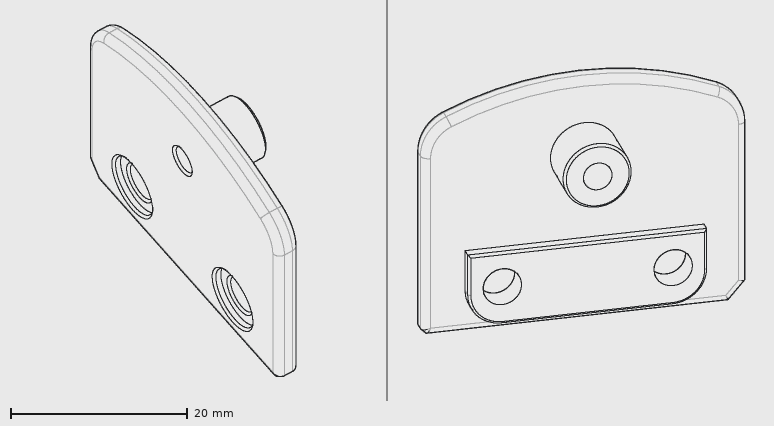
import cadquery as cq
import math

width = 38.0
height = 30.2
thickness = 3.0
edge_fillet = 0.95
crown_radius = 40.0
shoulder_radius = 5.0
left_chamfer_x = 2.0
left_chamfer_z = 2.3
right_chamfer = 0.57

boss_diameter = 7.98
boss_end = 9.0
boss_z = 20.67
boss_hole_diameter = 3.35

pad_width = 28.0
pad_bottom = 1.2
pad_height = 9.0
pad_rise = 1.5
pad_corner_radius = 4.0

screw_spacing = 20.03
screw_z = 5.9
screw_hole_diameter = 4.5
counterbore_diameter = 7.52
counterbore_depth = 1.0

rim_chamfer = 0.3


def back_plane(y):
    """XZ plane at depth y; extrusion runs toward -Y."""
    return cq.Workplane("XZ", origin=(0, y, 0))


def make_plate():
    half = width / 2
    crown_center_z = height - crown_radius
    shoulder_x = half - shoulder_radius
    center_distance = crown_radius - shoulder_radius
    shoulder_z = crown_center_z + math.sqrt(center_distance**2 - shoulder_x**2)

    crown_angle = math.asin(shoulder_x / center_distance)
    joint_x = crown_radius * math.sin(crown_angle)
    joint_z = crown_center_z + crown_radius * math.cos(crown_angle)
    middle_angle = (crown_angle + math.pi / 2) / 2
    middle_x = shoulder_x + shoulder_radius * math.sin(middle_angle)
    middle_z = shoulder_z + shoulder_radius * math.cos(middle_angle)

    return (
        back_plane(thickness)
        .moveTo(-half + left_chamfer_x, 0)
        .lineTo(half - right_chamfer, 0)
        .lineTo(half, right_chamfer)
        .lineTo(half, shoulder_z)
        .threePointArc((middle_x, middle_z), (joint_x, joint_z))
        .threePointArc((0, height), (-joint_x, joint_z))
        .threePointArc((-middle_x, middle_z), (-half, shoulder_z))
        .lineTo(-half, left_chamfer_z)
        .close()
        .extrude(thickness)
        .faces("<Y or >Y")
        .edges()
        .fillet(edge_fillet)
    )


def make_boss():
    return (
        back_plane(boss_end)
        .center(0, boss_z)
        .circle(boss_diameter / 2)
        .extrude(boss_end - thickness / 2)
        .faces(">Y")
        .chamfer(rim_chamfer)
    )


def make_pad():
    pad_end = thickness + pad_rise
    return (
        back_plane(pad_end)
        .center(0, pad_bottom + pad_height / 2)
        .rect(pad_width, pad_height)
        .extrude(pad_end - thickness / 2)
        .edges("|Y and <Z")
        .fillet(pad_corner_radius)
        .faces(">Y")
        .chamfer(rim_chamfer)
    )


def make_bore(x, z, diameter, start, end):
    """Round cutter from Y = start to Y = end, flared at the start by the rim chamfer."""
    radius = diameter / 2
    bore = back_plane(end).center(x, z).circle(radius).extrude(end - start)
    flare = cq.Solid.makeCone(
        radius + rim_chamfer, radius, rim_chamfer, cq.Vector(x, start, z), cq.Vector(0, 1, 0)
    )
    return bore.union(cq.Workplane(flare))


result = make_plate().union(make_boss()).union(make_pad())
result = result.cut(make_bore(0, boss_z, boss_hole_diameter, 0, boss_end))
for screw_x in (-screw_spacing / 2, screw_spacing / 2):
    result = result.cut(make_bore(screw_x, screw_z, counterbore_diameter, 0, counterbore_depth))
    result = result.cut(
        make_bore(screw_x, screw_z, screw_hole_diameter, counterbore_depth, thickness + pad_rise)
    )